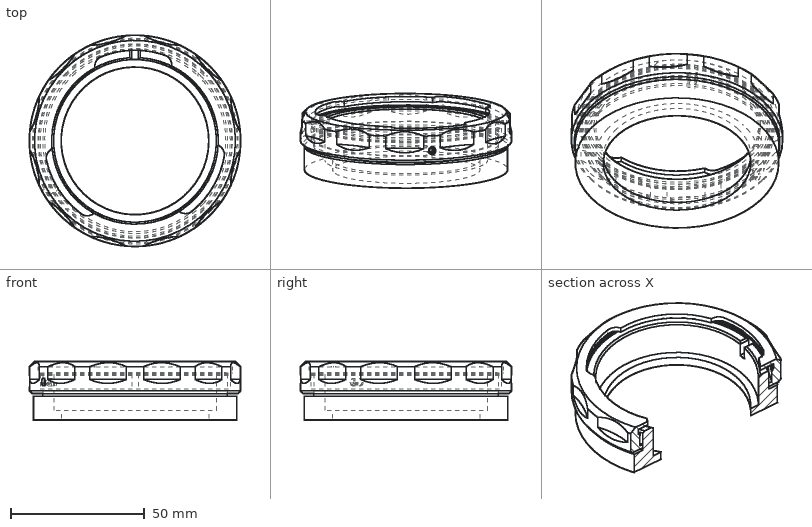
import cadquery as cq
import math

TOTAL_HEIGHT = 21.9
FLANGE_RADIUS = 76.0 / 2
FLANGE_HEIGHT = 9.0
SLEEVE_RADIUS = 69.0 / 2
SLEEVE_TOP = 18.0
BORE_RADIUS = 60.75 / 2
SHELF_RADIUS = 55.0 / 2
SHELF_HEIGHT = 3.7
RIM_CHAMFER = 0.7

SLOT_WIDTH = 2.5
SLOT_FLOOR = 11.8

RING_RADIUS = 39.45
RING_BOTTOM = 9.95
RING_TOP_CHAMFER = 2.0
RING_BOTTOM_CHAMFER = 1.0
LIP_RADIUS = BORE_RADIUS + RIM_CHAMFER
LIP_THICKNESS = 2.0
LIP_UNDERSIDE = TOTAL_HEIGHT - LIP_THICKNESS
CAVITY_RADIUS = 72.6 / 2
CAVITY_FLOOR = 17.75
RELIEF_RADIUS = 35.5
RELIEF_FLOOR = 11.8

GROOVE_RADIUS = 72.0 / 2
FLANK_RISE = (GROOVE_RADIUS - RELIEF_RADIUS) * math.tan(math.radians(30))

SCALLOP_COUNT = 12
SCALLOP_PITCH = 360 / SCALLOP_COUNT
SCALLOP_RADIUS = 30.0
SCALLOP_DEPTH = 1.5
SCALLOP_FLOOR = 15.2

NOTCH_RADIUS = 33.85
NOTCH_END_RADIUS = 4.0
NOTCH_SWEEP = 40.6
NOTCH_ANGLES = (91.3, 213.0, 329.5)

SCREW_RADIUS = 2.8 / 2
SCREW_ANGLE = 210.0
SCREW_HEIGHT = 14.3
SCREW_RECESS = 1.2
SOCKET_WIDTH = 1.4
SOCKET_DEPTH = 1.2


def polar(radius, angle):
    """Point in the XY plane at a radius and an angle in degrees."""
    return radius * math.cos(math.radians(angle)), radius * math.sin(math.radians(angle))


def revolve(profile):
    """Turn a closed (radius, height) outline about the Z axis."""
    return cq.Workplane("XZ").polyline(profile).close().revolve(360, (0, 0, 0), (0, 1, 0))


def key_slot():
    """Radial slot with its two upper edges chamfered."""
    half = SLOT_WIDTH / 2
    wide = half + RIM_CHAMFER
    chamfer_start = SLEEVE_TOP - RIM_CHAMFER
    outline = [
        (-half, SLOT_FLOOR),
        (half, SLOT_FLOOR),
        (half, chamfer_start),
        (wide, SLEEVE_TOP),
        (-wide, SLEEVE_TOP),
        (-half, chamfer_start),
    ]
    return cq.Workplane("XZ").polyline(outline).close().extrude(-RING_RADIUS)


def make_base():
    body = revolve([
        (SHELF_RADIUS, 0),
        (FLANGE_RADIUS, 0),
        (FLANGE_RADIUS, FLANGE_HEIGHT),
        (SLEEVE_RADIUS, FLANGE_HEIGHT),
        (SLEEVE_RADIUS, SLEEVE_TOP - RIM_CHAMFER),
        (SLEEVE_RADIUS - RIM_CHAMFER, SLEEVE_TOP),
        (BORE_RADIUS + RIM_CHAMFER, SLEEVE_TOP),
        (BORE_RADIUS, SLEEVE_TOP - RIM_CHAMFER),
        (BORE_RADIUS, SHELF_HEIGHT),
        (SHELF_RADIUS, SHELF_HEIGHT),
    ])
    return body.cut(key_slot())


def scallop_cutter(angle):
    """Upright cylinder with a 45 degree chamfered lower end, overlapping the ring's edge."""
    x, y = polar(RING_RADIUS - SCALLOP_DEPTH + SCALLOP_RADIUS, angle)
    tip = SCALLOP_FLOOR - SCALLOP_DEPTH
    cutter = cq.Workplane("XY", origin=(x, y, tip)).circle(SCALLOP_RADIUS).extrude(TOTAL_HEIGHT - tip)
    return cutter.faces("<Z").chamfer(SCALLOP_DEPTH)


def notch_cutter(angle):
    """Arc-shaped slot through the lip, with round ends."""
    path_radius = NOTCH_RADIUS - NOTCH_END_RADIUS
    inner_radius = path_radius - NOTCH_END_RADIUS
    start = angle - NOTCH_SWEEP / 2
    end = angle + NOTCH_SWEEP / 2
    start_tip = polar(NOTCH_END_RADIUS, start - 90)
    end_tip = polar(NOTCH_END_RADIUS, end + 90)
    start_center = polar(path_radius, start)
    end_center = polar(path_radius, end)
    return (
        cq.Workplane("XY", origin=(0, 0, LIP_UNDERSIDE))
        .moveTo(*polar(NOTCH_RADIUS, start))
        .threePointArc(polar(NOTCH_RADIUS, angle), polar(NOTCH_RADIUS, end))
        .threePointArc(
            (end_center[0] + end_tip[0], end_center[1] + end_tip[1]),
            polar(inner_radius, end),
        )
        .threePointArc(polar(inner_radius, angle), polar(inner_radius, start))
        .threePointArc(
            (start_center[0] + start_tip[0], start_center[1] + start_tip[1]),
            polar(NOTCH_RADIUS, start),
        )
        .close()
        .extrude(LIP_THICKNESS)
    )


def screw_plane():
    """Plane across the screw axis at the sleeve wall, facing outward."""
    x, y = polar(SLEEVE_RADIUS, SCREW_ANGLE)
    outward = (*polar(1, SCREW_ANGLE), 0)
    return cq.Workplane(cq.Plane(origin=(x, y, SCREW_HEIGHT), xDir=(0, 0, 1), normal=outward))


def make_ring():
    ring = revolve([
        (SLEEVE_RADIUS, RING_BOTTOM),
        (RING_RADIUS - RING_BOTTOM_CHAMFER, RING_BOTTOM),
        (RING_RADIUS, RING_BOTTOM + RING_BOTTOM_CHAMFER),
        (RING_RADIUS, TOTAL_HEIGHT - RING_TOP_CHAMFER),
        (RING_RADIUS - RING_TOP_CHAMFER, TOTAL_HEIGHT),
        (LIP_RADIUS, TOTAL_HEIGHT),
        (LIP_RADIUS, LIP_UNDERSIDE),
        (CAVITY_RADIUS, LIP_UNDERSIDE),
        (CAVITY_RADIUS, CAVITY_FLOOR),
        (GROOVE_RADIUS, CAVITY_FLOOR),
        (RELIEF_RADIUS, CAVITY_FLOOR - FLANK_RISE),
        (GROOVE_RADIUS, CAVITY_FLOOR - 2 * FLANK_RISE),
        (RELIEF_RADIUS, CAVITY_FLOOR - 3 * FLANK_RISE),
        (RELIEF_RADIUS, RELIEF_FLOOR),
        (SLEEVE_RADIUS, RELIEF_FLOOR),
    ])
    for index in range(SCALLOP_COUNT):
        ring = ring.cut(scallop_cutter((index + 0.5) * SCALLOP_PITCH))
    for angle in NOTCH_ANGLES:
        ring = ring.cut(notch_cutter(angle))
    return ring.cut(screw_plane().circle(SCREW_RADIUS).extrude(RING_RADIUS))


def make_set_screw():
    length = RING_RADIUS - SCREW_RECESS - SLEEVE_RADIUS
    screw = screw_plane().circle(SCREW_RADIUS).extrude(length)
    across_corners = SOCKET_WIDTH / math.cos(math.radians(30))
    socket = (
        screw_plane()
        .workplane(offset=length - SOCKET_DEPTH)
        .polygon(6, across_corners)
        .extrude(SOCKET_DEPTH)
    )
    sleeve = cq.Workplane("XY").circle(SLEEVE_RADIUS).extrude(SLEEVE_TOP)
    return screw.cut(socket).cut(sleeve)


base = make_base()
grip_ring = make_ring()
set_screw = make_set_screw()

bodies = [base, grip_ring, set_screw]
result = cq.Compound.makeCompound([body.solids().val() for body in bodies])